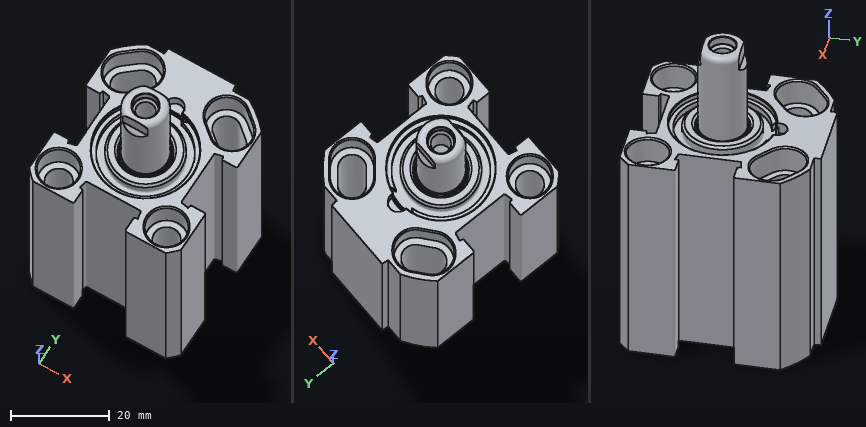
import cadquery as cq
import math

overall_height = 66.5
body_height = 47.0
body_width = 36.0
body_depth = 40.0
half_width = body_width / 2
front_y = -half_width
back_y = front_y + body_depth

corner_radius = 23.9
shoulder_y = 20.6
pad_half_width_top = 8.0
pad_half_width_root = 8.2

groove_mouth_half = 6.05
groove_undercut_half = 6.85
groove_floor_half = 6.45
groove_lip_depth = 3.5
groove_undercut_depth = 3.8
groove_floor_depth = 5.6
groove_mouth_fillet = 0.4
groove_floor_fillet = 0.25

bolt_offset = 12.8
bolt_diameter = 5.8
counterbore_diameter = 8.8
counterbore_depth = 5.8
counterbore_chamfer = 0.3
slot_inner_x = 10.05
slot_inner_y = 15.0

bore_diameter = 22.0
bore_chamfer = 0.1
ring_outer_diameter = 22.8
ring_inner_diameter = 20.0
ring_top_depth = 1.2
ring_thickness = 1.45
ring_gap_half_inner = 2.5
ring_gap_half_outer = 3.6
ring_gap_inner_y = 9.7
ring_gap_outer_y = 10.2
notch_diameter = 4.1
notch_y = 11.3
notch_depth = 2.5
gland_length = 10.0
gland_edge_chamfer = 0.2
collar_diameter = 16.5
collar_top_depth = 0.25
collar_chamfer = 0.5
collar_root_fillet = 0.4
rod_opening_chamfer = 0.5

seal_diameter = 11.4
seal_pocket_depth = 3.3
seal_recess = 0.8
seal_shoulder_diameter = 11.05
seal_lip_diameter = 10.5
seal_lip_height = 0.5

rod_diameter = 10.0
rod_fillet = 1.25
flat_width = 8.0
flat_length = 3.5
hole_mouth_diameter = 5.8
hole_relief_diameter = 5.5
hole_relief_depth = 1.8
thread_diameter = 5.25
tap_hole_diameter = 4.1
tap_hole_depth = 10.0
drill_half_angle = 60.0

ring_top_z = body_height - ring_top_depth
gland_top_z = ring_top_z - ring_thickness
gland_bottom_z = gland_top_z - gland_length
collar_top_z = body_height - collar_top_depth
seal_mouth_z = collar_top_z - rod_opening_chamfer
seal_bottom_z = seal_mouth_z - seal_pocket_depth
seal_rim_z = seal_mouth_z - seal_recess


def cylinder(diameter, bottom_z, top_z):
    return cq.Workplane("XY").workplane(offset=bottom_z).circle(diameter / 2).extrude(top_z - bottom_z)


def revolved(points):
    """Solid of revolution about the rod axis, from (radius, z) points."""
    return cq.Workplane("XZ").polyline(points).close().revolve(360, (0, 0, 0), (0, 1, 0))


def housing_block():
    shoulders = cq.Workplane("XY").box(
        body_width, shoulder_y - front_y, body_height, centered=(True, False, False)
    )
    corner_cylinder = cylinder(2 * corner_radius, 0, body_height)
    block = shoulders.translate((0, front_y, 0)).intersect(corner_cylinder)
    port_pad = (
        cq.Workplane("XY")
        .polyline([
            (-pad_half_width_root, 0),
            (-pad_half_width_root, shoulder_y),
            (-pad_half_width_top, back_y),
            (pad_half_width_top, back_y),
            (pad_half_width_root, shoulder_y),
            (pad_half_width_root, 0),
        ])
        .close()
        .extrude(body_height)
    )
    return block.union(port_pad)


def sensor_groove():
    """The groove in the front face; turning it about the axis gives the side grooves."""
    floor_y = front_y + groove_floor_depth
    right_side = [
        (groove_mouth_half, front_y),
        (groove_mouth_half, front_y + groove_lip_depth),
        (groove_undercut_half, front_y + groove_undercut_depth),
        (groove_floor_half, floor_y),
    ]
    left_side = [(-x, y) for x, y in reversed(right_side)]
    groove = cq.Workplane("XY").polyline(right_side + left_side).close().extrude(body_height)
    return groove.edges("|Z").edges(">Y").fillet(groove_floor_fillet)


def groove_mouth_rounding():
    """Rounds the two outer edges of the front groove."""
    edge_x = groove_mouth_half + groove_mouth_fillet
    edge_y = front_y + groove_mouth_fillet
    flare = cq.Workplane("XY").rect(2 * edge_x, 2 * groove_mouth_fillet).extrude(body_height)
    flare = flare.translate((0, front_y, 0))
    rounds = (
        cq.Workplane("XY")
        .pushPoints([(-edge_x, edge_y), (edge_x, edge_y)])
        .circle(groove_mouth_fillet)
        .extrude(body_height)
    )
    return flare.cut(rounds)


def round_hole(side, diameter, depth, taper=0):
    """Cut for a front mounting hole, sunk from the top face."""
    return (
        cq.Workplane("XY")
        .workplane(offset=body_height)
        .center(side * bolt_offset, -bolt_offset)
        .circle(diameter / 2)
        .extrude(-depth, taper=taper)
    )


def slotted_hole(side, diameter, depth, taper=0):
    """Cut for a back mounting hole, a slot from the bolt position in towards the port pad."""
    run = side * (slot_inner_x - bolt_offset)
    rise = slot_inner_y - bolt_offset
    return (
        cq.Workplane("XY")
        .workplane(offset=body_height)
        .center(side * bolt_offset + run / 2, bolt_offset + rise / 2)
        .slot2D(math.hypot(run, rise) + diameter, diameter, math.degrees(math.atan2(rise, run)))
        .extrude(-depth, taper=taper)
    )


def mounting_cut(hole, side):
    """Through hole, counterbore and chamfered mouth of one mounting hole."""
    mouth_diameter = counterbore_diameter + 2 * counterbore_chamfer
    through = hole(side, bolt_diameter, body_height)
    counterbore = hole(side, counterbore_diameter, counterbore_depth)
    mouth = hole(side, mouth_diameter, counterbore_chamfer, taper=45)
    return through.union(counterbore).union(mouth)


def gland_bore():
    """Bore for the gland, with the ring groove and a chamfered mouth."""
    bore_radius = bore_diameter / 2
    groove_radius = ring_outer_diameter / 2
    return revolved([
        (0, gland_bottom_z),
        (bore_radius, gland_bottom_z),
        (bore_radius, gland_top_z),
        (groove_radius, gland_top_z),
        (groove_radius, ring_top_z),
        (bore_radius, ring_top_z),
        (bore_radius, body_height - bore_chamfer),
        (bore_radius + bore_chamfer, body_height),
        (0, body_height),
    ])


def ring_access_notch():
    return cylinder(notch_diameter, body_height - notch_depth, body_height).translate((0, notch_y, 0))


def make_housing():
    body = housing_block()
    for turn in (-90, 0, 90):
        for cut in (sensor_groove(), groove_mouth_rounding()):
            body = body.cut(cut.rotate((0, 0, 0), (0, 0, 1), turn))
    for side in (-1, 1):
        for hole in (round_hole, slotted_hole):
            body = body.cut(mounting_cut(hole, side))
    return body.cut(gland_bore()).cut(ring_access_notch())


def make_retaining_ring():
    ring = cylinder(ring_outer_diameter, gland_top_z, ring_top_z)
    ring = ring.cut(cylinder(ring_inner_diameter, gland_top_z, ring_top_z))
    gap = (
        cq.Workplane("XY")
        .workplane(offset=gland_top_z)
        .polyline([
            (0, 0),
            (ring_gap_half_inner, ring_gap_inner_y),
            (ring_gap_half_outer, ring_gap_outer_y),
            (ring_gap_half_outer, ring_outer_diameter),
            (-ring_gap_half_outer, ring_outer_diameter),
            (-ring_gap_half_outer, ring_gap_outer_y),
            (-ring_gap_half_inner, ring_gap_inner_y),
        ])
        .close()
        .extrude(ring_thickness)
    )
    return ring.cut(gap)


def make_gland():
    flange_radius = bore_diameter / 2
    collar_radius = collar_diameter / 2
    root_arc_offset = collar_root_fillet * (1 - math.sqrt(0.5))
    seal_radius = seal_diameter / 2
    return (
        cq.Workplane("XZ")
        .moveTo(rod_diameter / 2, gland_bottom_z)
        .lineTo(flange_radius, gland_bottom_z)
        .lineTo(flange_radius, gland_top_z - gland_edge_chamfer)
        .lineTo(flange_radius - gland_edge_chamfer, gland_top_z)
        .lineTo(collar_radius + collar_root_fillet, gland_top_z)
        .threePointArc(
            (collar_radius + root_arc_offset, gland_top_z + root_arc_offset),
            (collar_radius, gland_top_z + collar_root_fillet),
        )
        .lineTo(collar_radius, collar_top_z - collar_chamfer)
        .lineTo(collar_radius - collar_chamfer, collar_top_z)
        .lineTo(seal_radius + rod_opening_chamfer, collar_top_z)
        .lineTo(seal_radius, seal_mouth_z)
        .lineTo(seal_radius, seal_bottom_z)
        .lineTo(rod_diameter / 2, seal_bottom_z)
        .close()
        .revolve(360, (0, 0, 0), (0, 1, 0))
    )


def make_seal():
    return revolved([
        (rod_diameter / 2, seal_bottom_z),
        (seal_diameter / 2, seal_bottom_z),
        (seal_diameter / 2, seal_rim_z),
        (seal_shoulder_diameter / 2, seal_rim_z),
        (seal_lip_diameter / 2, seal_rim_z + seal_lip_height),
        (rod_diameter / 2, seal_rim_z + seal_lip_height),
    ])


def wrench_flat():
    """Cut for the flat on the -Y side, running out at 45 degrees to the rod surface."""
    flat_y = -flat_width / 2
    outside_y = -rod_diameter
    flat_end_z = overall_height - flat_length
    return (
        cq.Workplane("YZ")
        .moveTo(flat_y, overall_height)
        .lineTo(flat_y, flat_end_z)
        .lineTo(outside_y, flat_end_z + outside_y - flat_y)
        .lineTo(outside_y, overall_height)
        .close()
        .extrude(rod_diameter, both=True)
    )


def tapped_hole():
    """Chamfered mouth, relief, tapered step, tap drill hole and drill point."""
    mouth_radius = hole_mouth_diameter / 2
    relief_radius = hole_relief_diameter / 2
    thread_radius = thread_diameter / 2
    drill_radius = tap_hole_diameter / 2
    relief_z = overall_height - hole_relief_depth
    drill_z = overall_height - tap_hole_depth
    point_z = drill_z - drill_radius / math.tan(math.radians(drill_half_angle))
    return revolved([
        (0, point_z),
        (drill_radius, drill_z),
        (drill_radius, relief_z - (thread_radius - drill_radius)),
        (thread_radius, relief_z),
        (relief_radius, relief_z),
        (relief_radius, overall_height - (mouth_radius - relief_radius)),
        (mouth_radius, overall_height),
        (0, overall_height),
    ])


def make_rod():
    rod = cylinder(rod_diameter, gland_bottom_z, overall_height).faces(">Z").edges().fillet(rod_fillet)
    flat = wrench_flat()
    return rod.cut(flat).cut(flat.mirror("XZ")).cut(tapped_hole())


housing = make_housing()
retaining_ring = make_retaining_ring()
gland = make_gland()
seal = make_seal()
rod = make_rod()

result = cq.Compound.makeCompound([
    housing.val(),
    retaining_ring.val(),
    gland.val(),
    seal.val(),
    rod.val(),
])